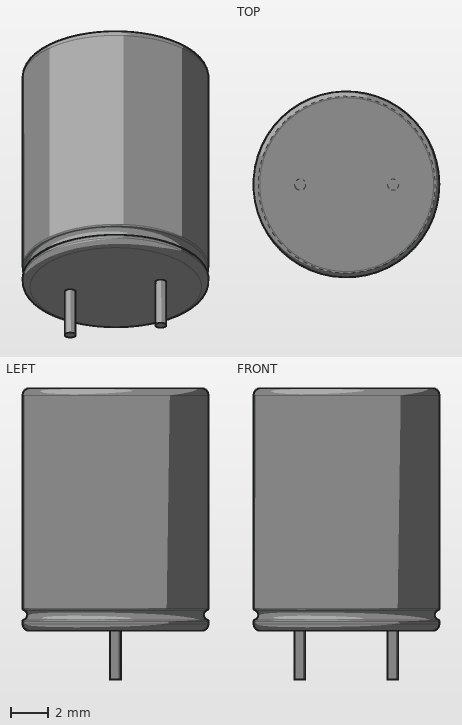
import cadquery as cq
import math

total_height = 15.66
can_diameter = 10.0
lead_length = 2.62
lead_diameter = 0.6
lead_spacing = 5.0

rim_radius = 0.39
top_rim_height = 0.39
top_rim_inset = 0.33

waist_height = 0.86
groove_depth = 0.25
lip_height = 0.1
waist_half_height = 0.258

can_radius = can_diameter / 2
can_height = total_height - lead_length


def build_can():
    """Revolve the can's half profile, with its base at Z = 0."""
    turn = 2 * math.atan(groove_depth / (lip_height + waist_half_height))
    lip_radius = lip_height / math.sin(turn)
    lip_centre_r = can_radius - lip_radius
    joint_r = lip_centre_r + lip_radius * math.cos(turn)
    lip_middle_r = lip_centre_r + lip_radius * math.cos(turn / 2)
    lip_middle_rise = lip_radius * math.sin(turn / 2)
    groove_half_height = waist_half_height + lip_height
    lower_z = waist_height - groove_half_height
    upper_z = waist_height + groove_half_height

    rim_r = can_radius - rim_radius
    rim_middle_r = rim_r + rim_radius * math.sqrt(0.5)
    rim_middle_inset = rim_radius * (1 - math.sqrt(0.5))

    top_rim_radius = (top_rim_height**2 + top_rim_inset**2) / (2 * top_rim_inset)
    top_rim_sweep = math.asin(top_rim_height / top_rim_radius)
    top_rim_start_z = can_height - top_rim_height
    top_rim_middle_r = can_radius - top_rim_radius * (1 - math.cos(top_rim_sweep / 2))
    top_rim_middle_z = top_rim_start_z + top_rim_radius * math.sin(top_rim_sweep / 2)

    profile = (
        cq.Workplane("XZ")
        .lineTo(rim_r, 0)
        .threePointArc((rim_middle_r, rim_middle_inset), (can_radius, rim_radius))
        .lineTo(can_radius, lower_z)
        .threePointArc((lip_middle_r, lower_z + lip_middle_rise), (joint_r, lower_z + lip_height))
        .threePointArc(
            (can_radius - groove_depth, waist_height),
            (joint_r, upper_z - lip_height),
        )
        .threePointArc((lip_middle_r, upper_z - lip_middle_rise), (can_radius, upper_z))
        .lineTo(can_radius, top_rim_start_z)
        .threePointArc(
            (top_rim_middle_r, top_rim_middle_z),
            (can_radius - top_rim_inset, can_height),
        )
        .lineTo(0, can_height)
        .close()
    )
    return profile.revolve(360, (0, 0, 0), (0, 1, 0))


def build_leads():
    """Two round leads hanging from the base, spaced along X."""
    return (
        cq.Workplane("XY")
        .pushPoints([(-lead_spacing / 2, 0), (lead_spacing / 2, 0)])
        .circle(lead_diameter / 2)
        .extrude(-lead_length)
    )


result = build_can().union(build_leads())